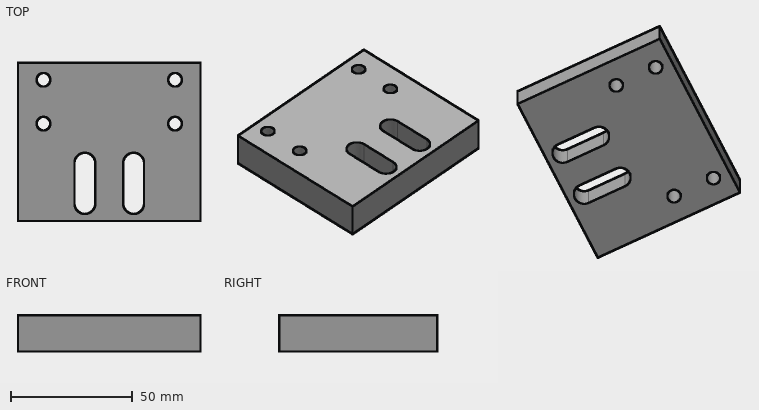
import cadquery as cq

plate_width = 75.0
plate_depth = 65.0
plate_thickness = 15.0

hole_diameter = 5.5
hole_spacing_x = 54.0
hole_spacing_y = 18.0
back_row_to_edge = 7.0

slot_width = 8.5
slot_length = 25.0
slot_spacing = 20.0
slot_end_to_edge = 3.0

hole_pattern_y = plate_depth / 2 - back_row_to_edge - hole_spacing_y / 2
slot_center_y = -plate_depth / 2 + slot_end_to_edge + slot_length / 2


def make_plate():
    return cq.Workplane("XY").box(
        plate_width, plate_depth, plate_thickness, centered=(True, True, False)
    )


def make_holes():
    return (
        cq.Workplane("XY")
        .center(0, hole_pattern_y)
        .rarray(hole_spacing_x, hole_spacing_y, 2, 2)
        .circle(hole_diameter / 2)
        .extrude(plate_thickness)
    )


def make_slots():
    slot_centers = [(side * slot_spacing / 2, slot_center_y) for side in (-1, 1)]
    return (
        cq.Workplane("XY")
        .pushPoints(slot_centers)
        .slot2D(slot_length, slot_width, angle=90)
        .extrude(plate_thickness)
    )


result = make_plate().cut(make_holes()).cut(make_slots())